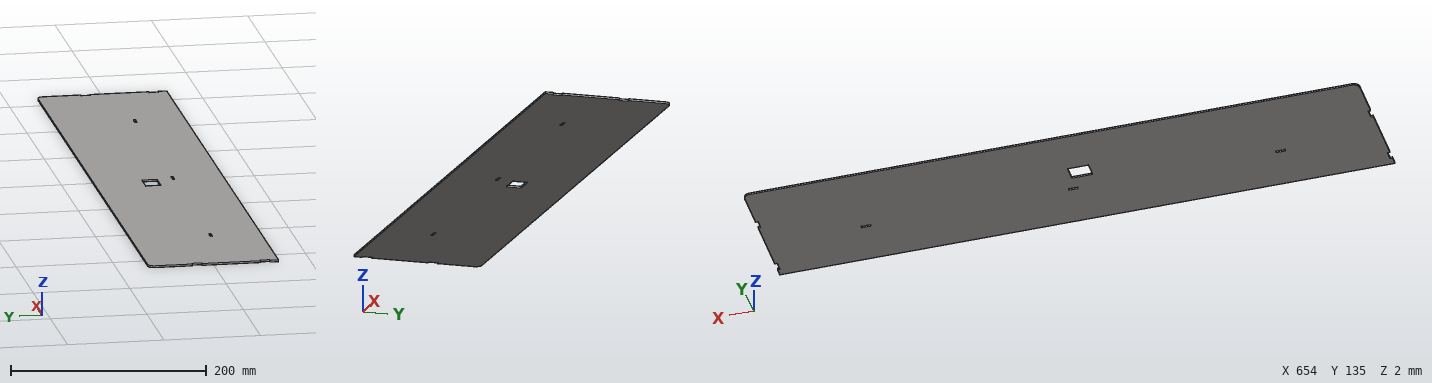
import cadquery as cq

length = 654.0
width = 135.0
thickness = 2.0
corner_radius = 6.5

notch_length = 10.0
notch_depth = 2.5
notch_centers_y = (17.0, -53.5)

window_length = 22.0
window_width = 16.0
window_x = -14.5
window_y = 9.0

slot_length = 10.0
slot_width = thickness
slot_spacing = 220.5
slot_y = -16.0


def through_cutter(size_x, size_y, points):
    """Rectangular prisms through the full sheet thickness, centred on the points."""
    return cq.Workplane("XY").pushPoints(points).rect(size_x, size_y).extrude(thickness)


sheet = cq.Workplane("XY").rect(length, width).extrude(thickness)
sheet = sheet.edges("|Z and >Y").fillet(corner_radius)

notch_points = [(side * length / 2, y) for side in (-1, 1) for y in notch_centers_y]
notches = through_cutter(2 * notch_depth, notch_length, notch_points)

window = through_cutter(window_length, window_width, [(window_x, window_y)])

slot_points = [(step * slot_spacing, slot_y) for step in (-1, 0, 1)]
slots = through_cutter(slot_length, slot_width, slot_points)

result = sheet.cut(notches).cut(window).cut(slots)